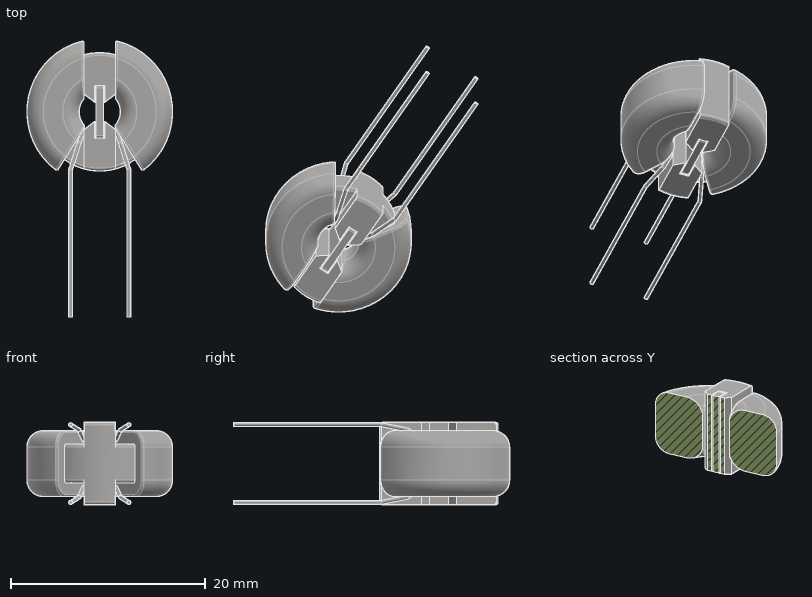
import cadquery as cq
import math

WINDING_RADIUS = 7.5
WINDING_BORE_RADIUS = 2.1
WINDING_HEIGHT = 6.8
WINDING_ROUND = 1.7
WINDING_END_ROUND = 0.2
FRONT_END_ANGLE = 32.0
FRONT_END_OFFSET = 0.57

WINDING_THICKNESS = 1.4
CORE_RADIUS = WINDING_RADIUS - WINDING_THICKNESS
CORE_BORE_RADIUS = 2.5
CORE_HEIGHT = WINDING_HEIGHT - 2 * WINDING_THICKNESS
CORE_ROUND = 0.3

BLOCK_HALF_WIDTH = 1.6
BLOCK_HEIGHT = 8.5
BLOCK_SHOULDER_Y = 1.8
BLOCK_NOSE_Y = 0.97

BLADE_WIDTH = 0.8
BLADE_LENGTH = 5.4
BLADE_END_ROUND = 0.25
SLOT_WIDTH = 1.0

WIRE_RADIUS = 0.2
LEAD_X = 3.0
LEAD_Z = 4.0
LEAD_LENGTH = 15.0
LEAD_BEND_Y = -5.95
LEAD_KNEE = (2.13, -3.2, 3.45)
LEAD_ROOT = (1.65, -1.85, 2.4)


def make_core():
    """Core ring, interrupted where the separator blocks stand."""
    ring = cq.Workplane("XY").circle(CORE_RADIUS).circle(CORE_BORE_RADIUS)
    ring = ring.extrude(CORE_HEIGHT / 2, both=True)
    ring = ring.edges("%CIRCLE").fillet(CORE_ROUND)
    block_gap = cq.Workplane("XY").box(2 * BLOCK_HALF_WIDTH, 2 * WINDING_RADIUS, CORE_HEIGHT)
    return ring.cut(block_gap)


def make_winding():
    """Winding on the +X side: the ring section cut by two end planes."""
    section_width = WINDING_RADIUS - WINDING_BORE_RADIUS
    section_center = (WINDING_RADIUS + WINDING_BORE_RADIUS) / 2
    ring = (
        cq.Workplane("XZ")
        .center(section_center, 0)
        .sketch()
        .rect(section_width, WINDING_HEIGHT)
        .vertices()
        .fillet(WINDING_ROUND)
        .finalize()
        .revolve(360, (-section_center, 0, 0), (-section_center, 1, 0))
    )
    reach = 2 * WINDING_RADIUS
    front_x = FRONT_END_OFFSET + reach * math.tan(math.radians(FRONT_END_ANGLE))
    sector = (
        cq.Workplane("XY")
        .moveTo(BLOCK_HALF_WIDTH, reach)
        .lineTo(BLOCK_HALF_WIDTH, 0)
        .lineTo(FRONT_END_OFFSET, 0)
        .lineTo(front_x, -reach)
        .lineTo(reach, -reach)
        .lineTo(reach, reach)
        .close()
        .extrude(WINDING_HEIGHT, both=True)
    )
    winding = ring.intersect(sector)
    return winding.faces("#Z and %PLANE").edges().fillet(WINDING_END_ROUND)


def make_block():
    """Separator block on the +Y side."""
    corner_y = math.sqrt(CORE_RADIUS**2 - BLOCK_HALF_WIDTH**2)
    nose_x = SLOT_WIDTH / 2
    block = (
        cq.Workplane("XY")
        .moveTo(nose_x, BLOCK_NOSE_Y)
        .lineTo(BLOCK_HALF_WIDTH, BLOCK_SHOULDER_Y)
        .lineTo(BLOCK_HALF_WIDTH, corner_y)
        .threePointArc((0, CORE_RADIUS), (-BLOCK_HALF_WIDTH, corner_y))
        .lineTo(-BLOCK_HALF_WIDTH, BLOCK_SHOULDER_Y)
        .lineTo(-nose_x, BLOCK_NOSE_Y)
        .close()
        .extrude(BLOCK_HEIGHT / 2, both=True)
    )
    return block.edges("%CIRCLE").fillet(CORE_ROUND)


def make_blade():
    """Blade whose top and bottom end edges are rounded."""
    blade = cq.Workplane("XY").box(BLADE_WIDTH, BLADE_LENGTH, BLOCK_HEIGHT)
    return blade.faces("|Z").edges("|X").fillet(BLADE_END_ROUND)


def make_lead():
    """Lead on the +X, +Z side, from its free end to its root in the winding."""
    free_end_y = -CORE_RADIUS - LEAD_LENGTH
    points = [
        (LEAD_X, free_end_y, LEAD_Z),
        (LEAD_X, LEAD_BEND_Y, LEAD_Z),
        LEAD_KNEE,
        LEAD_ROOT,
    ]
    path = cq.Workplane("XY").polyline(points)
    profile = cq.Workplane("XZ", origin=points[0]).circle(WIRE_RADIUS)
    return profile.sweep(path, transition="round")


back_block = make_block()
front_block = back_block.rotate((0, 0, 0), (0, 0, 1), 180)
blade_slot = cq.Workplane("XY").box(SLOT_WIDTH, BLADE_LENGTH, BLOCK_HEIGHT)
frame = make_core().union(back_block).union(front_block).cut(blade_slot).union(make_blade())

right_winding = make_winding()
upper_lead = make_lead()
right_half = right_winding.union(upper_lead).union(upper_lead.mirror("XY"))
left_half = right_half.mirror("YZ")

result = frame.union(right_half).union(left_half)